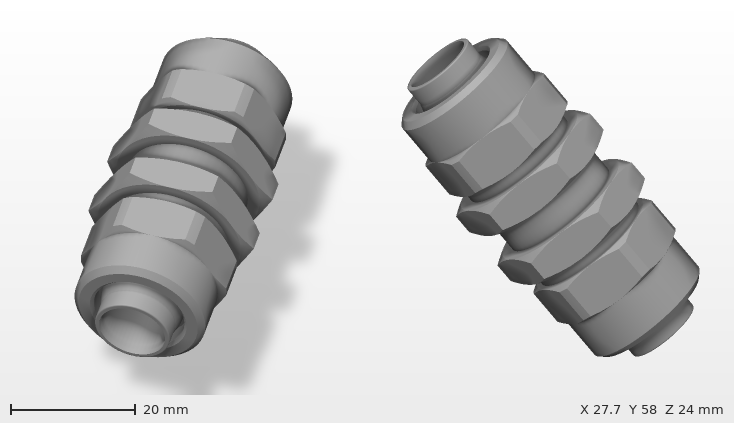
import cadquery as cq
import math


HALF_LENGTH = 29.0
BORE_RADIUS = 5.5
SHANK_RADIUS = 10.05
SPIGOT_RADIUS = 6.25
SPIGOT_STRAIGHT = 3.3
TIP_ROUND = 0.25
BARB_RADIUS = 6.95
BARB_LENGTH = 3.5

FLANGE_ACROSS_FLATS = 24.0
FLANGE_INNER_OFFSET = 2.55
FLANGE_OUTER_OFFSET = 8.05

NUT_RADIUS = 10.95
NUT_CORNER_RADIUS = 12.2
NUT_INNER_OFFSET = 10.1
NUT_COLLAR_OFFSET = 17.6
NUT_OUTER_OFFSET = 25.6
NUT_EDGE_CHAMFER = 1.0
HOSE_HOLE_RADIUS = 7.6
HOSE_HOLE_CHAMFER = 0.5

HEX_CHAMFER_ANGLE = 30.0
HEX_CORNER_RATIO = 1 / math.cos(math.radians(30))

BARB_START_OFFSET = HALF_LENGTH - SPIGOT_STRAIGHT
SHANK_END_OFFSET = BARB_START_OFFSET - BARB_LENGTH


def cylinder(radius, start, end):
    """Cylinder around the Y axis between two Y offsets."""
    return cq.Workplane("XZ", origin=(0, start, 0)).circle(radius).extrude(start - end)


def revolve_profile(profile):
    """Turn a closed profile of (radius, Y) coordinates around the Y axis."""
    return profile.close().revolve(360, (0, 0, 0), (0, 1, 0))


def hexagon(across_flats, corner_radius, start, end):
    """Hexagonal prism along Y, corners along X, turned to corner_radius and bevelled at both ends."""
    flat_radius = across_flats / 2
    bevel = (corner_radius - flat_radius) * math.tan(math.radians(HEX_CHAMFER_ANGLE))
    prism = (
        cq.Workplane("XZ", origin=(0, start, 0))
        .polygon(6, across_flats * HEX_CORNER_RATIO)
        .extrude(start - end)
    )
    turned_blank = revolve_profile(
        cq.Workplane("XY")
        .moveTo(0, start)
        .lineTo(flat_radius, start)
        .lineTo(corner_radius, start + bevel)
        .lineTo(corner_radius, end - bevel)
        .lineTo(flat_radius, end)
        .lineTo(0, end)
    )
    return prism.intersect(turned_blank)


def make_spigot():
    """Solid +Y spigot: a barb swelling in a convex arc, then a straight tube with a rounded tip."""
    swell = BARB_RADIUS - SPIGOT_RADIUS
    arc_radius = (BARB_LENGTH**2 + swell**2) / (2 * swell)
    half_angle = math.asin(BARB_LENGTH / arc_radius) / 2
    arc_middle = (
        BARB_RADIUS - arc_radius * (1 - math.cos(half_angle)),
        SHANK_END_OFFSET + arc_radius * math.sin(half_angle),
    )
    spigot = revolve_profile(
        cq.Workplane("XY")
        .moveTo(0, 0)
        .lineTo(BARB_RADIUS, 0)
        .lineTo(BARB_RADIUS, SHANK_END_OFFSET)
        .threePointArc(arc_middle, (SPIGOT_RADIUS, BARB_START_OFFSET))
        .lineTo(SPIGOT_RADIUS, HALF_LENGTH)
        .lineTo(0, HALF_LENGTH)
    )
    return spigot.faces(">Y").edges().fillet(TIP_ROUND)


def make_body():
    """Coupling body: shank, two hexagonal flanges and two spigots, bored through."""
    flange = hexagon(
        FLANGE_ACROSS_FLATS,
        FLANGE_ACROSS_FLATS / 2 * HEX_CORNER_RATIO,
        FLANGE_INNER_OFFSET,
        FLANGE_OUTER_OFFSET,
    )
    spigot = make_spigot()
    body = cylinder(SHANK_RADIUS, -SHANK_END_OFFSET, SHANK_END_OFFSET)
    for feature in (flange, spigot):
        body = body.union(feature).union(feature.mirror("XZ"))
    return body.cut(cylinder(BORE_RADIUS, -HALF_LENGTH, HALF_LENGTH))


def make_nut():
    """Union nut for the +Y end: hexagon and round collar, recessed to take the body's shank."""
    collar = cylinder(NUT_RADIUS, NUT_COLLAR_OFFSET, NUT_OUTER_OFFSET)
    collar = collar.faces(">Y").edges().chamfer(NUT_EDGE_CHAMFER)
    grip = hexagon(2 * NUT_RADIUS, NUT_CORNER_RADIUS, NUT_INNER_OFFSET, NUT_COLLAR_OFFSET)
    shank_recess = cylinder(SHANK_RADIUS, NUT_INNER_OFFSET, SHANK_END_OFFSET)
    hose_hole = cylinder(HOSE_HOLE_RADIUS, NUT_INNER_OFFSET, NUT_OUTER_OFFSET)
    nut = collar.union(grip).cut(shank_recess).cut(hose_hole)
    hole_edge = nut.faces(">Y").edges(cq.selectors.RadiusNthSelector(0))
    return hole_edge.chamfer(HOSE_HOLE_CHAMFER)


body = make_body()
nut = make_nut()
nuts = [nut.val() if side > 0 else nut.mirror("XZ").val() for side in (1, -1)]

result = cq.Compound.makeCompound([body.val(), *nuts])